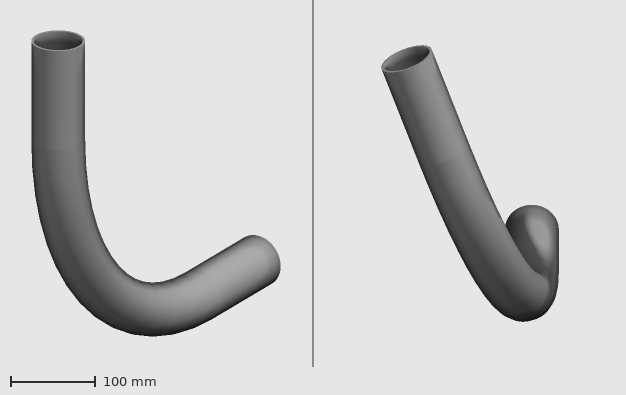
import cadquery as cq

overall_size = 463.5
outer_diameter = 63.5
inner_diameter = 57.5
bend_radius = 305.0

leg_length = overall_size - bend_radius - outer_diameter / 2



def tube_section():
    """Ring-shaped cross-section of the tube, lying in the XY plane."""
    return cq.Workplane("XY").circle(outer_diameter / 2).circle(inner_diameter / 2)


def horizontal_leg_section():
    """The same ring at the lower end of the bend, facing +Y."""
    bend_end = (0, bend_radius, -bend_radius)
    plane = cq.Plane(origin=bend_end, xDir=(1, 0, 0), normal=(0, 1, 0))
    return cq.Workplane(plane).circle(outer_diameter / 2).circle(inner_diameter / 2)


vertical_leg = tube_section().extrude(leg_length)

bend = tube_section().revolve(90, (0, bend_radius, 0), (1, bend_radius, 0))

horizontal_leg = horizontal_leg_section().extrude(leg_length)

result = vertical_leg.union(bend).union(horizontal_leg)